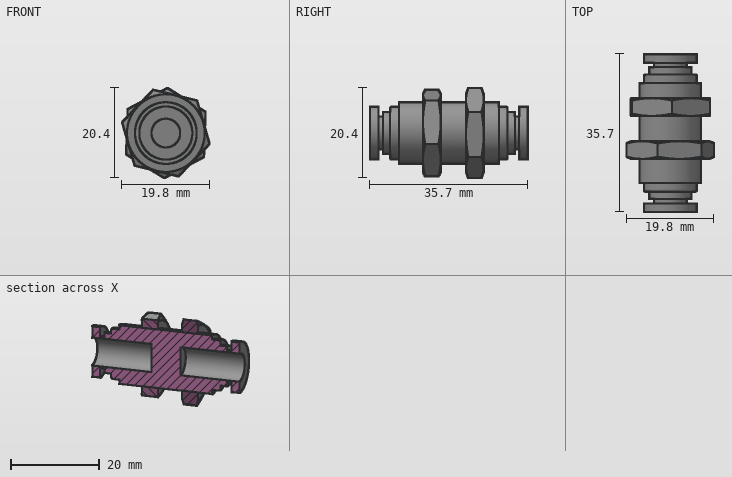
import cadquery as cq
import math

length = 35.7
half_length = length / 2

flange_diameter = 12.0
neck_diameter = 7.5
sleeve_diameter = 9.55
shoulder_diameter = 12.0
thread_diameter = 13.95
bore_diameter = 6.5

flange_length = 2.0
neck_length = 0.95
sleeve_length = 1.6
shoulder_length = 2.0
shoulder_rounding = 0.5
bore_depth = 14.28

nut_across_flats = 17.67
nut_across_corners = nut_across_flats / math.cos(math.pi / 6)
nut_thickness = 4.05
nut_face_diameter = 17.55
nut_chamfer_angle = 20.0
front_nut_start = -5.85
rear_nut_start = 3.85
front_nut_turn = -13.8
rear_nut_turn = 28.0


def cylinder_along_y(diameter, start, depth):
    """Cylinder on the Y axis from Y = start to Y = start + depth."""
    plane = cq.Workplane("XZ", origin=(0, start, 0))
    return plane.circle(diameter / 2).extrude(-depth)


def make_fitting():
    """Symmetric stepped body with a blind tube bore in each end."""
    neck_half = half_length - flange_length
    sleeve_half = neck_half - neck_length
    shoulder_half = sleeve_half - sleeve_length
    thread_half = shoulder_half - shoulder_length

    shoulder = cylinder_along_y(shoulder_diameter, -shoulder_half, 2 * shoulder_half)
    body = shoulder.edges("%CIRCLE").fillet(shoulder_rounding)
    for diameter, half in (
        (thread_diameter, thread_half),
        (sleeve_diameter, sleeve_half),
        (neck_diameter, neck_half),
    ):
        body = body.union(cylinder_along_y(diameter, -half, 2 * half))
    for flange_start in (-half_length, neck_half):
        body = body.union(cylinder_along_y(flange_diameter, flange_start, flange_length))
    for bore_start in (-half_length, half_length - bore_depth):
        body = body.cut(cylinder_along_y(bore_diameter, bore_start, bore_depth))
    return body


def make_nut(start, turn):
    """Hexagon nut with conical chamfers on both faces, bored to fit the thread."""
    face_radius = nut_face_diameter / 2
    corner_radius = nut_across_corners / 2
    chamfer_depth = (corner_radius - face_radius) * math.tan(math.radians(nut_chamfer_angle))

    hexagon = cq.Workplane("XZ").polygon(6, nut_across_corners).extrude(-nut_thickness)
    chamfer_envelope = (
        cq.Workplane("XY")
        .polyline([
            (0, 0),
            (face_radius, 0),
            (corner_radius, chamfer_depth),
            (corner_radius, nut_thickness - chamfer_depth),
            (face_radius, nut_thickness),
            (0, nut_thickness),
        ])
        .close()
        .revolve(360, (0, 0, 0), (0, 1, 0))
    )
    thread_hole = cylinder_along_y(thread_diameter, 0, nut_thickness)
    nut = hexagon.intersect(chamfer_envelope).cut(thread_hole)
    return nut.rotate((0, 0, 0), (0, 1, 0), -turn).translate((0, start, 0))


fitting = make_fitting()
nuts = [
    make_nut(start, turn)
    for start, turn in (
        (front_nut_start, front_nut_turn),
        (rear_nut_start, rear_nut_turn),
    )
]

result = cq.Compound.makeCompound([fitting.val(), *[nut.val() for nut in nuts]])